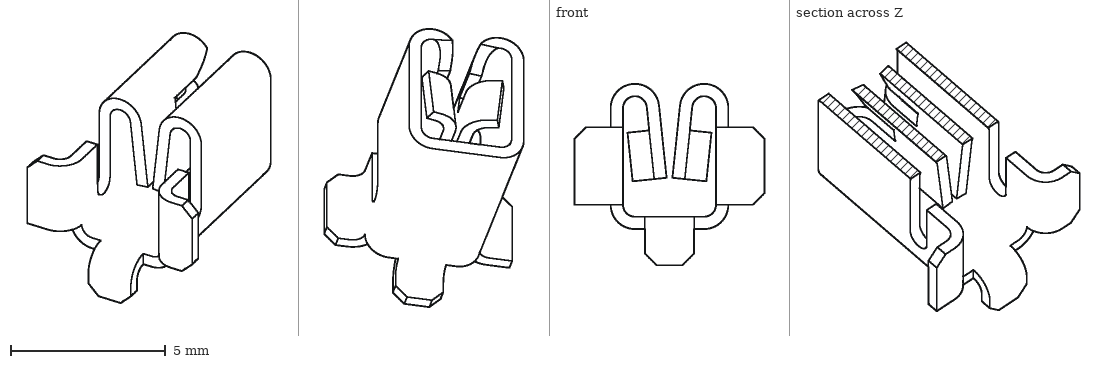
import cadquery as cq
import math

SHEET = 0.406
INNER_R = 0.381
OUTER_R = INNER_R + SHEET
TAB_INNER_R = 0.40
TAB_OUTER_R = TAB_INNER_R + SHEET
CHAMFER = 0.38

HALF_WIDTH = 1.905
BODY_HEIGHT = 4.70
BODY_FRONT = TAB_OUTER_R
BODY_BACK = 7.16
WALL_INNER = HALF_WIDTH - SHEET
BEND_X = HALF_WIDTH - OUTER_R
FOLD_Z = BODY_HEIGHT - OUTER_R

RELIEF_WIDTH = 0.813
RELIEF_R = RELIEF_WIDTH / 2
RELIEF_Y = 2.235
RELIEF_BOTTOM = 1.19
SPRING_FRONT = RELIEF_Y + RELIEF_R

WING_BOTTOM = OUTER_R
WING_TOP = 3.30
WING_REACH = 3.075
FOOT_WIDTH = 1.5875
FOOT_DROP = 1.168

LEAN = math.radians(6)
LEG_LENGTH = 2.35
LIP_HEIGHT = 1.5875
LIP_TOP = LIP_HEIGHT - LEG_LENGTH

NOTCH_FRONT = 4.80
NOTCH_TOP = -0.18
NOTCH_CORNER_Y = 6.21
NOTCH_BACK_HEIGHT = 0.368

LIP_BEND_Y = 5.93
LIP_INNER_R = 0.635
LIP_OUTER_R = LIP_INNER_R + SHEET
LIP_ANGLE = math.radians(70)
LIP_FLAT = 0.305

MARGIN = 1.0


def polar(center, radius, angle):
    """Point on a circle, angle in radians."""
    return (center[0] + radius * math.cos(angle), center[1] + radius * math.sin(angle))


def block(x_range, y_range, z_range):
    """Axis-aligned box between the given limits."""
    size = [high - low for low, high in (x_range, y_range, z_range)]
    corner = (x_range[0], y_range[0], z_range[0])
    return cq.Workplane("XY").box(*size, centered=False).translate(corner)


def bent_channel():
    """Right half of the U channel with its folded-over leg, at full length."""
    floor_axis = (BEND_X, OUTER_R)
    fold_axis = (BEND_X, FOLD_Z)
    tangent = math.pi - LEAN
    down_leg = (-LEG_LENGTH * math.sin(LEAN), -LEG_LENGTH * math.cos(LEAN))

    def leg_end(radius):
        start = polar(fold_axis, radius, tangent)
        return (start[0] + down_leg[0], start[1] + down_leg[1])

    return (
        cq.Workplane("XZ", origin=(0, BODY_FRONT, 0))
        .lineTo(BEND_X, 0)
        .threePointArc(polar(floor_axis, OUTER_R, -math.pi / 4), (HALF_WIDTH, OUTER_R))
        .lineTo(HALF_WIDTH, FOLD_Z)
        .threePointArc(polar(fold_axis, OUTER_R, tangent / 2), polar(fold_axis, OUTER_R, tangent))
        .lineTo(*leg_end(OUTER_R))
        .lineTo(*leg_end(INNER_R))
        .lineTo(*polar(fold_axis, INNER_R, tangent))
        .threePointArc(polar(fold_axis, INNER_R, tangent / 2), (WALL_INNER, FOLD_Z))
        .lineTo(WALL_INNER, OUTER_R)
        .threePointArc(polar(floor_axis, INNER_R, -math.pi / 4), (BEND_X, SHEET))
        .lineTo(0, SHEET)
        .close()
        .extrude(BODY_FRONT - BODY_BACK)
    )


def front_relief():
    """Material removed ahead of the spring: leg, upper wall and round-ended slot."""
    wall = (WALL_INNER - MARGIN, HALF_WIDTH + MARGIN)
    above_body = BODY_HEIGHT + MARGIN
    slot_axis_z = RELIEF_BOTTOM + RELIEF_R
    leg = block((0, WALL_INNER), (0, SPRING_FRONT), (OUTER_R, above_body))
    upper_wall = block(wall, (0, RELIEF_Y), (WING_TOP, above_body))
    slot = block(wall, (RELIEF_Y - RELIEF_R, SPRING_FRONT), (slot_axis_z, above_body))
    slot_end = (
        cq.Workplane("YZ", origin=(wall[0], 0, 0))
        .center(RELIEF_Y, slot_axis_z)
        .circle(RELIEF_R)
        .extrude(wall[1] - wall[0])
    )
    return leg.union(upper_wall).union(slot).union(slot_end)


LEG_UP = cq.Vector(math.sin(LEAN), 0, math.cos(LEAN))
LEG_DEPTH = cq.Vector(math.cos(LEAN), 0, -math.sin(LEAN))
LEG_ORIGIN = cq.Vector(BEND_X, 0, FOLD_Z) - LEG_DEPTH * OUTER_R


def lip_notch():
    """Cutter that leaves the lower leg strip in front of the lip and slopes off the fold above it."""
    slope = (NOTCH_BACK_HEIGHT - NOTCH_TOP) / (BODY_BACK - NOTCH_CORNER_Y)
    below_leg = -LEG_LENGTH - SHEET
    plane = cq.Plane(LEG_ORIGIN - LEG_DEPTH * SHEET, cq.Vector(0, 1, 0), LEG_DEPTH)
    outline = [
        (NOTCH_FRONT, LIP_TOP),
        (NOTCH_FRONT, NOTCH_TOP),
        (NOTCH_CORNER_Y, NOTCH_TOP),
        (BODY_BACK + SHEET, NOTCH_BACK_HEIGHT + slope * SHEET),
        (BODY_BACK + SHEET, below_leg),
        (LIP_BEND_Y, below_leg),
        (LIP_BEND_Y, LIP_TOP),
    ]
    return cq.Workplane(plane).polyline(outline).close().extrude(SHEET + OUTER_R)


def lip():
    """Flared lip continuing the lower part of the right leg."""
    axis = (LIP_OUTER_R, LIP_BEND_Y)
    bend_end = math.pi - LIP_ANGLE
    bend_middle = math.pi - LIP_ANGLE / 2
    flat = (LIP_FLAT * math.sin(LIP_ANGLE), LIP_FLAT * math.cos(LIP_ANGLE))

    def tip(radius):
        start = polar(axis, radius, bend_end)
        return (start[0] + flat[0], start[1] + flat[1])

    plane = cq.Plane(LEG_ORIGIN - LEG_UP * LEG_LENGTH, LEG_DEPTH, LEG_UP)
    return (
        cq.Workplane(plane)
        .moveTo(0, LIP_BEND_Y)
        .threePointArc(polar(axis, LIP_OUTER_R, bend_middle), polar(axis, LIP_OUTER_R, bend_end))
        .lineTo(*tip(LIP_OUTER_R))
        .lineTo(*tip(LIP_INNER_R))
        .lineTo(*polar(axis, LIP_INNER_R, bend_end))
        .threePointArc(polar(axis, LIP_INNER_R, bend_middle), (SHEET, LIP_BEND_Y))
        .close()
        .extrude(LIP_HEIGHT)
    )


def bent_tab(workplane, root, reach, width):
    """Tab that leaves the sheet edge and bends 90 degrees; root is the outside face of the sheet."""
    axis = (root + TAB_INNER_R, BODY_FRONT)
    middle = -3 * math.pi / 4
    return (
        workplane.moveTo(root - SHEET, BODY_FRONT)
        .threePointArc(polar(axis, TAB_OUTER_R, middle), (axis[0], 0))
        .lineTo(reach, 0)
        .lineTo(reach, SHEET)
        .lineTo(axis[0], SHEET)
        .threePointArc(polar(axis, TAB_INNER_R, middle), (root, BODY_FRONT))
        .close()
        .extrude(width)
    )


def wing():
    """Right wing with its upper tip corner chamfered."""
    base = cq.Workplane("XY", origin=(0, 0, WING_BOTTOM))
    tab = bent_tab(base, HALF_WIDTH, WING_REACH, WING_TOP - WING_BOTTOM)
    return tab.edges("|Y").edges(">X").edges(">Z").chamfer(CHAMFER)


def foot():
    """Middle tab bent down from the floor, both tip corners chamfered."""
    base = cq.Workplane(cq.Plane((-FOOT_WIDTH / 2, 0, 0), (0, 0, -1), (1, 0, 0)))
    tab = bent_tab(base, 0, FOOT_DROP, FOOT_WIDTH)
    return tab.edges("|Y").edges("<Z").chamfer(CHAMFER)


right_half = bent_channel().cut(front_relief()).cut(lip_notch()).union(lip()).union(wing())
left_half = right_half.mirror("YZ")

right_half = right_half.edges("|Y").edges(">X").edges("<Z").chamfer(CHAMFER)

result = right_half.union(left_half).union(foot())